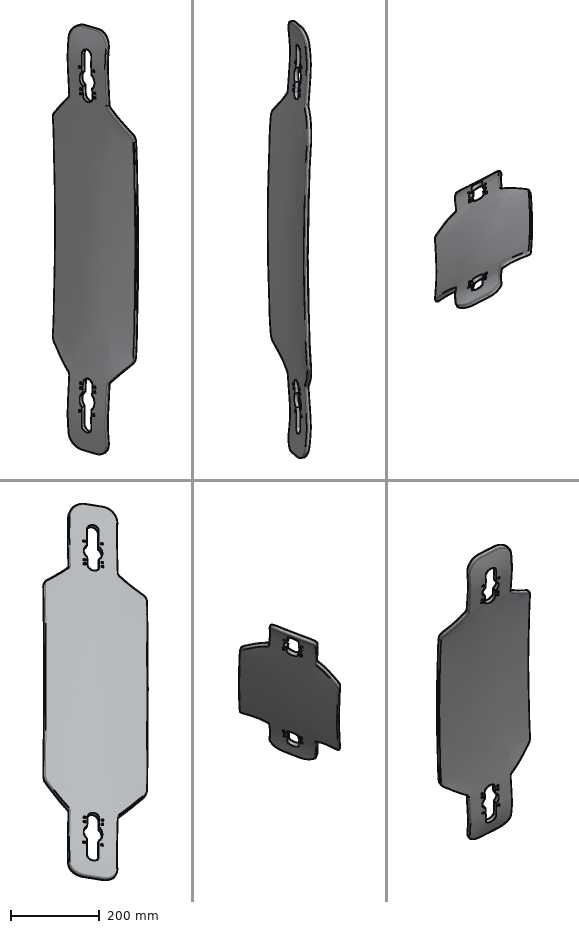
import cadquery as cq
import math


length = 1017.0
deck_width = 241.0
tail_width = 114.0
tail_corner_radius = 37.0
shoulder_top = 331.0
shoulder_bottom = 268.0
neck_radius = 10.0
shoulder_radius = 25.0

overall_height = 41.0
thickness = 10.0
rim_radius = 2.0
concave_depth = 12.0
rocker_radius = 4270.0
deck_end = 264.0
pad_start = 336.0
tail_start = 407.0
tail_lowest = 427.0
tail_radius = 325.0

slot_width = 27.0
slot_bottom = 331.0
slot_top = 459.0
pivot_diameter = 44.0
pivot_height = 384.0
bolt_diameter = 5.0
bolt_spacing = 42.0
bolt_heights = (347.0, 358.0, 412.0)

half_length = length / 2
half_width = deck_width / 2
half_tail = tail_width / 2

edge_slope = 2 * concave_depth / half_width
deck_bottom = overall_height - thickness - concave_depth + rim_radius * edge_slope

blank_half = half_width + 10.0
blank_end = half_length + 10.0
flat_rise = 0.001
corner_tolerance = 1.0
cut_depth = 203.0


def arc_rise(radius, distance):
    """Rise of a circular arc at a distance from its lowest point."""
    return radius - math.sqrt(radius**2 - distance**2)


def bottom_height(z):
    """Y of the bottom centre line: bowed deck, straight pad, upturned tail."""
    if z <= deck_end:
        return deck_bottom - arc_rise(rocker_radius, z)
    if z >= tail_start:
        return arc_rise(tail_radius, z - tail_lowest)
    share = (z - deck_end) / (tail_start - deck_end)
    return (1 - share) * bottom_height(deck_end) + share * bottom_height(tail_start)


def concave(z):
    """Rise of the board edges, fading smoothly from the deck to the flat pad."""
    share = min(max((z - deck_end) / (pad_start - deck_end), 0), 1)
    return flat_rise + concave_depth * (1 + math.cos(math.pi * share)) / 2


def cross_section(z):
    """Closed band across the board at height z."""
    bottom = bottom_height(abs(z))
    rise = concave(abs(z)) * (blank_half / half_width) ** 2
    top = bottom + thickness
    return (
        cq.Workplane("XY", origin=(0, 0, z))
        .moveTo(-blank_half, bottom + rise)
        .threePointArc((0, bottom), (blank_half, bottom + rise))
        .lineTo(blank_half, top + rise)
        .threePointArc((0, top), (-blank_half, top + rise))
        .close()
        .wire()
        .val()
    )


def curved_blank():
    """Untrimmed board, lofted smoothly through its cross-sections."""
    fade_middle = (deck_end + pad_start) / 2
    upper = [
        deck_end / 3,
        deck_end * 2 / 3,
        deck_end,
        (deck_end + fade_middle) / 2,
        fade_middle,
        (fade_middle + pad_start) / 2,
        pad_start,
        (pad_start + tail_start) / 2,
        tail_start,
        tail_lowest,
        (tail_lowest + blank_end) / 2,
        blank_end,
    ]
    stations = [-z for z in reversed(upper)] + [0] + upper
    return cq.Workplane(cq.Solid.makeLoft([cross_section(z) for z in stations]))


def outline_prism():
    """Prism along Y with the plan outline of the board."""
    quarter = [(half_width, shoulder_bottom), (half_tail, shoulder_top), (half_tail, half_length)]
    right = [(x, -z) for x, z in reversed(quarter)] + quarter
    left = [(-x, -z) for x, z in right]
    prism = cq.Workplane("XZ").polyline(right + left).close().extrude(cut_depth, both=True)

    def corners(z):
        """Test for outline corners at distance z from the middle."""
        return lambda edge: abs(abs(edge.Center().z) - z) < corner_tolerance

    prism = prism.edges("|Y").filter(corners(half_length)).fillet(tail_corner_radius)
    prism = prism.edges("|Y").filter(corners(shoulder_top)).fillet(neck_radius)
    return prism.edges("|Y").filter(corners(shoulder_bottom)).fillet(shoulder_radius)


def through_cut(profile):
    """Tool that cuts a profile right through the board."""
    return profile.extrude(cut_depth, both=True)


def truck_cutout(end):
    """Slot, pivot clearance circle and bolt holes at one end (end is 1 or -1)."""
    plane = cq.Workplane("XZ")
    slot_middle = end * (slot_top + slot_bottom) / 2
    bolts = [(hand * bolt_spacing / 2, end * z) for hand in (-1, 1) for z in bolt_heights]
    slot = through_cut(plane.center(0, slot_middle).slot2D(slot_top - slot_bottom, slot_width, 90))
    pivot = through_cut(plane.center(0, end * pivot_height).circle(pivot_diameter / 2))
    holes = through_cut(plane.pushPoints(bolts).circle(bolt_diameter / 2))
    return slot.union(pivot).union(holes)


def is_broad(face):
    """True for the bottom and top faces, which are far larger than any side wall."""
    return face.Area() > length * half_width


trimmed = curved_blank().intersect(outline_prism())
result = trimmed.faces().filter(is_broad).edges().fillet(rim_radius)
for end in (-1, 1):
    result = result.cut(truck_cutout(end))